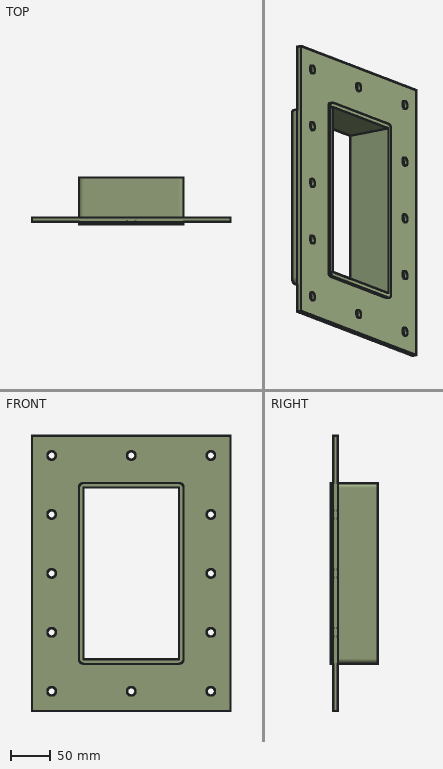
import cadquery as cq

plate_width = 252.5
plate_height = 350.0
plate_thickness = 6.0

duct_width = 133.0
duct_height = 229.5
duct_length = 60.0
duct_wall = 6.0
duct_corner_radius = 6.0
duct_front_projection = 3.0

hole_diameter = 10.5
hole_pitch_x = 101.0
hole_pitch_z = 75.0
hole_columns = 3
hole_rows = 5


def block(width, length, height, front_y):
    """Box centred on X and Z, running toward +Y from front_y."""
    return (
        cq.Workplane("XY")
        .box(width, length, height, centered=(True, False, True))
        .translate((0, front_y, 0))
    )


def border_hole_positions():
    """Grid positions (x, z) lying on the outer border of the hole grid."""
    positions = []
    for column in range(hole_columns):
        for row in range(hole_rows):
            if column in (0, hole_columns - 1) or row in (0, hole_rows - 1):
                x = (column - (hole_columns - 1) / 2) * hole_pitch_x
                z = (row - (hole_rows - 1) / 2) * hole_pitch_z
                positions.append((x, z))
    return positions


plate = block(plate_width, plate_thickness, plate_height, 0)
bolt_holes = (
    cq.Workplane("XZ")
    .pushPoints(border_hole_positions())
    .circle(hole_diameter / 2)
    .extrude(-plate_thickness)
)

duct = block(duct_width, duct_length, duct_height, -duct_front_projection)
duct = duct.edges("|Y").fillet(duct_corner_radius)
opening = block(
    duct_width - 2 * duct_wall,
    duct_length,
    duct_height - 2 * duct_wall,
    -duct_front_projection,
)

result = plate.cut(bolt_holes).union(duct).cut(opening)